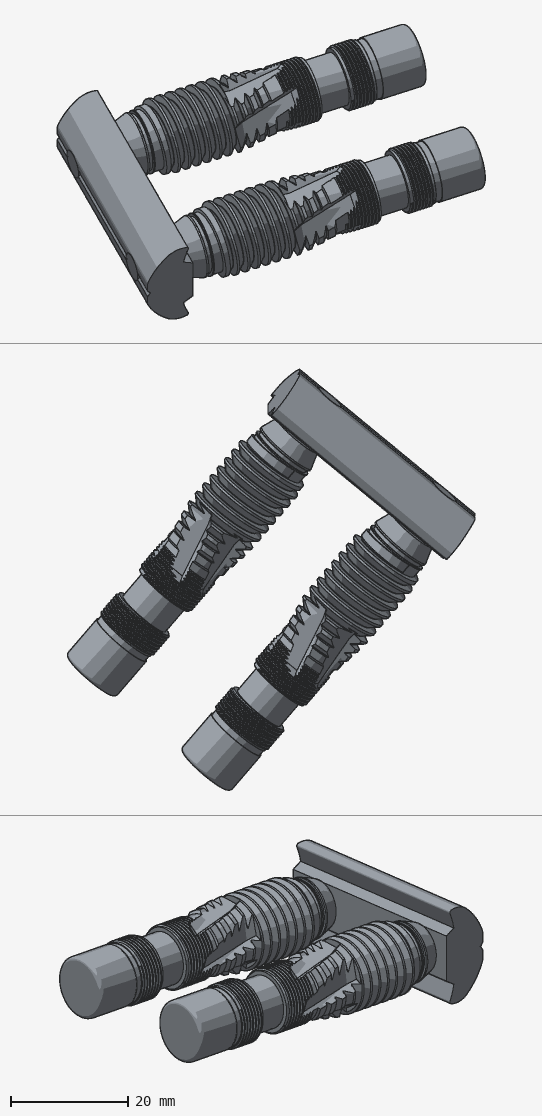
import cadquery as cq
import math

RAIL_LENGTH = 39.0
RAIL_HEIGHT = 17.65
RAIL_DEPTH = 8.4
TOTAL_DEPTH = 63.36
THREAD_DIAMETER = 13.5
ANCHOR_SPACING = RAIL_LENGTH - THREAD_DIAMETER
ANCHOR_X = (-ANCHOR_SPACING / 2, ANCHOR_SPACING / 2)

NOTCH_HALF_WIDTH = 0.75
NOTCH_DEPTH = 0.5
FRONT_HALF_WIDTH = 2.45
FRONT_EDGE = (0.1, 2.9)
FACE_ARC_MIDDLE = (1.6, 5.65)
FACE_ARC_END = (3.9, 8.1)
LIP_CREST = (6.0, RAIL_HEIGHT / 2)
LIP_OUTER = (7.1, 8.72)
LIP_ROUND_MIDDLE = (7.47, 8.52)
LIP_TIP = (7.55, 8.15)
LIP_INNER_MIDDLE = (7.0, 6.6)
LIP_ROOT = (6.67, 5.2)
BACK_HALF_WIDTH = 4.2

PIN_DIAMETER = 5.0

TIP_START = 8.7
TIP_CHAMFER_END = 9.2
TIP_COLLAR_START = 11.55
TIP_COLLAR_END = 11.9
CORE_START = 12.63
LEAD_IN_LAND_END = 12.87
THREAD_START = 12.9
THREAD_FULL_START = 15.3
THREAD_FULL_END = 28.9
THREAD_END = 35.2
LOWER_FINE_START = 37.2
LOWER_FINE_END = 43.86
UPPER_FINE_START = 49.2
UPPER_FINE_END = 54.05
HEAD_START = 55.2

TIP_FACE_RADIUS = 4.55
TIP_RADIUS = 4.75
COLLAR_RADIUS = 5.55
TIP_GROOVE_RADIUS = 5.1
LEAD_IN_LAND_RADIUS = 5.65
CORE_RADIUS = 5.5
NECK_RADIUS = 4.75
HEAD_GROOVE_RADIUS = 5.35
HEAD_RADIUS = 5.55
HEAD_FILLET = 0.7

PITCH = 1.925
THREAD_RADIUS = THREAD_DIAMETER / 2
THREAD_START_RADIUS = 5.6
THREAD_END_RADIUS = 5.75
STEEP_FLANK_SLOPE = 0.16
GENTLE_FLANK_SLOPE = 0.95
CREST_WIDTH = 0.43
MAIN_THREAD_ANGLE = 165.0

FINE_PITCH = PITCH / 3
FINE_RADIUS = 5.77
FINE_FLANK_SLOPE = 0.6
FINE_CREST_WIDTH = 0.2
FINE_END_GAP = 0.05

THREAD_EMBED = 0.05

MIN_TAPER = 1e-6

FLUTE_COUNT = 5
FLUTE_RADIUS = 5.0
FLUTE_LOW = 27.8
FLUTE_FLOOR_LOW = 29.5
FLUTE_FLOOR_HIGH = 39.2
FLUTE_HIGH = 40.8
FLUTE_TWIST_PER_MM = -2.9
FLUTE_START_ANGLE = -99.0
FLUTE_FLOOR_LENGTH = 6.0
FLUTE_WALL_HEIGHT = 2.6
FLUTE_WALL_LEAN = 40.0
FLUTE_LOW_RADIUS = 5.6
FLUTE_HIGH_RADIUS = 5.85


def make_rail():
    """Extrude the mushroom-shaped section along X and bore it for the pins."""
    upper = (
        cq.Workplane("YZ")
        .moveTo(RAIL_DEPTH, 0)
        .lineTo(NOTCH_DEPTH, 0)
        .lineTo(0, NOTCH_HALF_WIDTH)
        .lineTo(0, FRONT_HALF_WIDTH)
        .lineTo(*FRONT_EDGE)
        .threePointArc(FACE_ARC_MIDDLE, FACE_ARC_END)
        .threePointArc(LIP_CREST, LIP_OUTER)
        .threePointArc(LIP_ROUND_MIDDLE, LIP_TIP)
        .threePointArc(LIP_INNER_MIDDLE, LIP_ROOT)
        .lineTo(RAIL_DEPTH, BACK_HALF_WIDTH)
        .close()
        .extrude(RAIL_LENGTH / 2, both=True)
    )
    rail = upper.union(upper.mirror("XY"))
    for x in ANCHOR_X:
        rail = rail.cut(make_cylinder(x, RAIL_DEPTH))
    return rail


def make_cylinder(x, length):
    """Pin-sized cylinder running along +Y from the rail front."""
    return cq.Workplane("XZ", origin=(x, 0, 0)).circle(PIN_DIAMETER / 2).extrude(-length)


def make_pin(x):
    """Pin flush with the rail front that bridges the gap up to the anchor tip."""
    return make_cylinder(x, TIP_START)


def make_anchor_core():
    """Turned anchor body without threads, with its axis along local Z."""
    outline = [
        (0, TIP_START),
        (TIP_FACE_RADIUS, TIP_START),
        (TIP_RADIUS, TIP_CHAMFER_END),
        (COLLAR_RADIUS, TIP_COLLAR_START),
        (COLLAR_RADIUS, TIP_COLLAR_END),
        (TIP_GROOVE_RADIUS, TIP_COLLAR_END),
        (TIP_GROOVE_RADIUS, CORE_START),
        (LEAD_IN_LAND_RADIUS, CORE_START),
        (LEAD_IN_LAND_RADIUS, LEAD_IN_LAND_END),
        (CORE_RADIUS, LEAD_IN_LAND_END),
        (CORE_RADIUS, LOWER_FINE_END),
        (NECK_RADIUS, LOWER_FINE_END),
        (NECK_RADIUS, UPPER_FINE_START),
        (CORE_RADIUS, UPPER_FINE_START),
        (CORE_RADIUS, UPPER_FINE_END),
        (HEAD_GROOVE_RADIUS, UPPER_FINE_END),
        (HEAD_GROOVE_RADIUS, HEAD_START),
        (HEAD_RADIUS, HEAD_START),
        (HEAD_RADIUS, TOTAL_DEPTH),
        (0, TOTAL_DEPTH),
    ]
    core = cq.Workplane("XZ").polyline(outline).close().revolve(360, (0, 0, 0), (0, 1, 0))
    return core.faces(">Z").edges().fillet(HEAD_FILLET)


def split_into_turns(stations, pitch):
    """Add (height, crest radius) stations so that no stretch is longer than one turn."""
    split = [stations[0]]
    for (low, low_crest), (high, high_crest) in zip(stations, stations[1:]):
        count = math.ceil((high - low) / pitch)
        for i in range(1, count + 1):
            share = i / count
            split.append((low + (high - low) * share, low_crest + (high_crest - low_crest) * share))
    return split


def make_helix_edge(start, end, turns, start_angle):
    """Right-handed helix between two (radius, height) points, on a cone if the radii differ."""
    rise = end[1] - start[1]
    cone_angle = math.atan2(end[0] - start[0], rise)
    slant = rise / math.cos(cone_angle)
    is_cone = abs(end[0] - start[0]) > MIN_TAPER
    cone_option = {"angle": math.degrees(cone_angle)} if is_cone else {}
    helix = cq.Wire.makeHelix(slant / turns, slant, start[0], center=cq.Vector(0, 0, start[1]), **cone_option)
    return helix.rotate(cq.Vector(0, 0, 0), cq.Vector(0, 0, 1), start_angle).Edges()[0]


def make_ridge(stations, pitch, lower_slope, upper_slope, crest_width):
    """Helical ridge whose crest radius follows the (height, crest radius) stations."""
    stations = split_into_turns(stations, pitch)
    full_height = max(crest for _, crest in stations) - CORE_RADIUS
    width = full_height * (lower_slope + upper_slope) + crest_width

    def ridge_section(bottom, crest):
        height = crest - CORE_RADIUS
        top = bottom + width
        return [
            (CORE_RADIUS - THREAD_EMBED, bottom - THREAD_EMBED * lower_slope),
            (crest, bottom + height * lower_slope),
            (crest, top - height * upper_slope),
            (CORE_RADIUS - THREAD_EMBED, top + THREAD_EMBED * upper_slope),
        ]

    first_height = stations[0][0]
    faces = []
    turn_edges = []
    for low, high in zip(stations, stations[1:]):
        turns = (high[0] - low[0]) / pitch
        angle = 360 * (low[0] - first_height) / pitch
        corner_pairs = zip(ridge_section(*low), ridge_section(*high))
        edges = [make_helix_edge(start, end, turns, angle) for start, end in corner_pairs]
        neighbours = edges[1:] + edges[:1]
        faces += [cq.Face.makeRuledSurface(edge, other) for edge, other in zip(edges, neighbours)]
        turn_edges.append(edges)
    start_corners = [edge.startPoint() for edge in turn_edges[0]]
    end_corners = [edge.endPoint() for edge in turn_edges[-1]]
    for corners in (start_corners, end_corners):
        faces.append(cq.Face.makeFromWires(cq.Wire.makePolygon(corners, close=True)))
    return cq.Workplane(cq.Solid.makeSolid(cq.Shell.makeShell(faces)))


def make_main_thread():
    """Coarse thread that swells quickly at the tip end and fades slowly into the fine thread."""
    stations = [
        (THREAD_START, THREAD_START_RADIUS),
        (THREAD_FULL_START, THREAD_RADIUS),
        (THREAD_FULL_END, THREAD_RADIUS),
        (THREAD_END, THREAD_END_RADIUS),
    ]
    thread = make_ridge(stations, PITCH, STEEP_FLANK_SLOPE, GENTLE_FLANK_SLOPE, CREST_WIDTH)
    start_angle = MAIN_THREAD_ANGLE + 360 * THREAD_START / PITCH
    return thread.rotate((0, 0, 0), (0, 0, 1), start_angle)


def make_fine_thread(start, end):
    """Fine symmetric thread that covers one collar between two heights."""
    ridge_width = 2 * FINE_FLANK_SLOPE * (FINE_RADIUS - CORE_RADIUS) + FINE_CREST_WIDTH
    stations = [
        (start + FINE_END_GAP, FINE_RADIUS),
        (end - FINE_END_GAP - ridge_width, FINE_RADIUS),
    ]
    return make_ridge(stations, FINE_PITCH, FINE_FLANK_SLOPE, FINE_FLANK_SLOPE, FINE_CREST_WIDTH)


def make_flute():
    """Twisting cutter: floor tangent to a circle, leaning wall, and ends that ramp outward."""
    lean = FLUTE_WALL_HEIGHT * math.tan(math.radians(FLUTE_WALL_LEAN))
    stations = [
        (FLUTE_LOW, FLUTE_LOW_RADIUS),
        (FLUTE_FLOOR_LOW, FLUTE_RADIUS),
        (FLUTE_FLOOR_HIGH, FLUTE_RADIUS),
        (FLUTE_HIGH, FLUTE_HIGH_RADIUS),
    ]
    sections = []
    for height, floor in stations:
        corners = [
            cq.Vector(floor, 0, height),
            cq.Vector(floor, FLUTE_FLOOR_LENGTH, height),
            cq.Vector(floor + FLUTE_WALL_HEIGHT, FLUTE_FLOOR_LENGTH, height),
            cq.Vector(floor + FLUTE_WALL_HEIGHT, -lean, height),
        ]
        angle = FLUTE_START_ANGLE + FLUTE_TWIST_PER_MM * (height - FLUTE_FLOOR_LOW)
        section = cq.Wire.makePolygon(corners, close=True)
        sections.append(section.rotate(cq.Vector(0, 0, 0), cq.Vector(0, 0, 1), angle))
    return cq.Workplane(cq.Solid.makeLoft(sections, True))


def make_anchor():
    """Threaded and fluted anchor lying along +Y at X = 0."""
    anchor = make_anchor_core().union(make_main_thread())
    anchor = anchor.union(make_fine_thread(LOWER_FINE_START, LOWER_FINE_END))
    anchor = anchor.union(make_fine_thread(UPPER_FINE_START, UPPER_FINE_END))
    flute = make_flute()
    for i in range(FLUTE_COUNT):
        anchor = anchor.cut(flute.rotate((0, 0, 0), (0, 0, 1), i * 360 / FLUTE_COUNT))
    return anchor.rotate((0, 0, 0), (1, 0, 0), -90)


rail = make_rail()
pins = [make_pin(x) for x in ANCHOR_X]
anchor_master = make_anchor()
anchors = [anchor_master.translate((x, 0, 0)) for x in ANCHOR_X]

result = cq.Compound.makeCompound([
    rail.solids().val(),
    *[pin.val() for pin in pins],
    *[anchor.solids().val() for anchor in anchors],
])